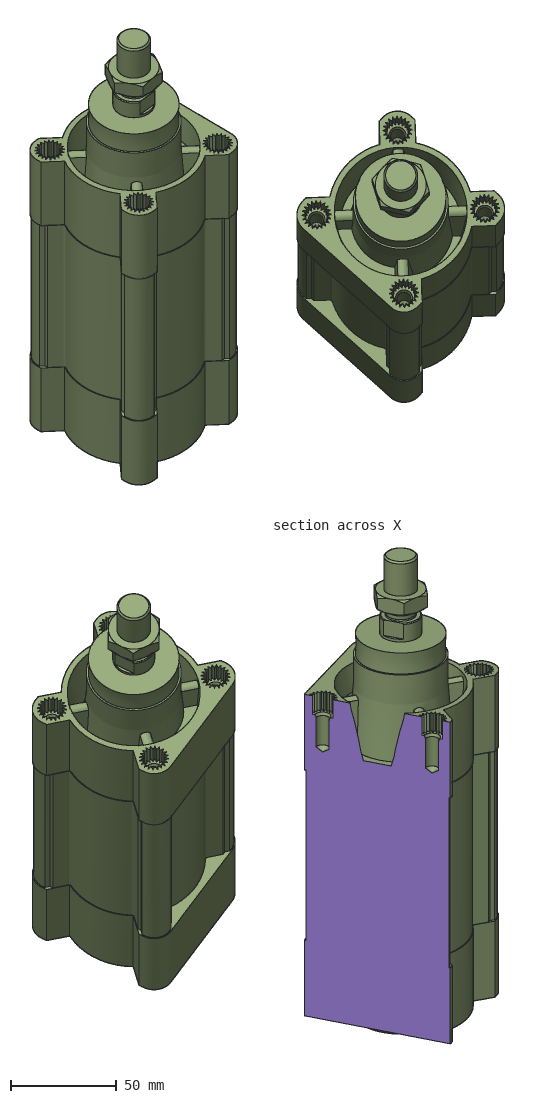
import cadquery as cq
import math


TOTAL_HEIGHT = 243.0
CAP_HEIGHT = 40.4
LOWER_CAP_BASE = 4.1
LOWER_CAP_TOP = LOWER_CAP_BASE + CAP_HEIGHT
UPPER_CAP_BASE = 134.5
UPPER_CAP_TOP = UPPER_CAP_BASE + CAP_HEIGHT
COLLAR_TOP = 190.5
HEAD_TOP = 201.8
SHOULDER_TOP = 211.5
NUT_BASE = 217.0
NUT_THICKNESS = 8.0

CAP_WIDTH = 75.0
BOLT_OFFSET = 28.2
CAP_LOBE_RADIUS = CAP_WIDTH / 2 - BOLT_OFFSET
BODY_RADIUS = 34.4
LOBE_HALF_WIDTH = 8.5
BARREL_RADIUS = 34.0
BARREL_LOBE_RADIUS = 8.8
BARREL_NECK_HALF_WIDTH = 8.3
BARREL_LOBE_HALF_WIDTH = 7.0
LEDGE_WIDTH = 70.3
NECK_REACH = 43.8
BARREL_CORNER_FILLET = 1.2

SPLINE_OUTER_DIAMETER = 13.9
SPLINE_INNER_DIAMETER = 10.2
SPLINE_DEPTH = 9.7
SPLINE_COUNT = 20
THREAD_MOUTH_DIAMETER = 8.0
THREAD_CORE_DIAMETER = 6.5
THREAD_MOUTH_DEPTH = 1.5
THREAD_DEPTH = 17.0
DRILL_POINT_ANGLE = 118.0

COLLAR_DIAMETER = 45.0
HEAD_DIAMETER = 43.0
HEAD_WAIST_DIAMETER = 42.5
SPIGOT_CHAMFER = 0.5

POCKET_DIAMETER = 63.0
POCKET_DEPTH = 29.2
SHALLOW_POCKET_DEPTH = 14.5
POCKET_WALL_TAPER = 2.5
RIB_CREST_RADIUS = 3.28
RIB_CREST_DEPTH = 2.2
RIB_HALF_WIDTH = 2.55
RIB_FOOT_HALF_WIDTH = 5.3

ROD_DIAMETER = 20.0
ROD_BASE = UPPER_CAP_BASE
WRENCH_WIDTH = 17.0
WRENCH_BASE = 203.2
THREAD_DIAMETER = 16.0
THREAD_TIP_DIAMETER = 14.3
THREAD_TIP_HEIGHT = 1.0
UNDERCUT_DIAMETER = 14.3
UNDERCUT_HEIGHT = 2.7
UNDERCUT_TAPER_HEIGHT = 1.0
UNDERCUT_ROOT_DIAMETER = 14.8
UNDERCUT_ROOT_HEIGHT = 0.7
SHOULDER_CHAMFER = 0.5

NUT_WIDTH = 24.0
NUT_CHAMFER_ANGLE = 30.0

CORNER_ANGLES = (45, 135, 225, 315)
BOLT_CENTRES = [(x, y) for x in (-BOLT_OFFSET, BOLT_OFFSET) for y in (-BOLT_OFFSET, BOLT_OFFSET)]


def rounded_square(width, corner_radius, height):
    """Square prism on XY with rounded vertical edges."""
    return cq.Workplane().rect(width, width).extrude(height).edges("|Z").fillet(corner_radius)


def diagonal_cross(reach, half_width, height):
    """Two crossing bars along the diagonals, ending at the given reach from the axis."""
    bar = cq.Workplane().rect(2 * reach, 2 * half_width).extrude(height)
    first, second = (bar.rotate((0, 0, 0), (0, 0, 1), angle) for angle in CORNER_ANGLES[:2])
    return first.union(second)


def back_sector(height):
    """Quarter sector between the two +Y corners, reaching past the caps."""
    outline = [(0, 0), (-CAP_WIDTH, CAP_WIDTH), (CAP_WIDTH, CAP_WIDTH)]
    return cq.Workplane().polyline(outline).close().extrude(height)


def end_cap(base):
    """Round cap with four corner lobes and a filled flat side toward +Y."""
    square = rounded_square(CAP_WIDTH, CAP_LOBE_RADIUS, CAP_HEIGHT)
    corners = diagonal_cross(CAP_WIDTH, LOBE_HALF_WIDTH, CAP_HEIGHT).union(back_sector(CAP_HEIGHT))
    cap = cq.Workplane().circle(BODY_RADIUS).extrude(CAP_HEIGHT).union(corners.intersect(square))
    return cap.translate((0, 0, base))


def barrel():
    """Round tube with four corner lobes that narrow at a flat ledge."""
    height = UPPER_CAP_BASE - LOWER_CAP_TOP
    necks = diagonal_cross(NECK_REACH, BARREL_NECK_HALF_WIDTH, height)
    necks = necks.intersect(cq.Workplane().rect(LEDGE_WIDTH, LEDGE_WIDTH).extrude(height))
    core = cq.Workplane().circle(BARREL_RADIUS).extrude(height).union(necks)
    corner = math.sqrt(BARREL_RADIUS**2 - BARREL_NECK_HALF_WIDTH**2)
    for angle in CORNER_ANGLES:
        for side in (1, -1):
            turn = math.radians(angle) + side * math.atan2(BARREL_NECK_HALF_WIDTH, corner)
            point = (BARREL_RADIUS * math.cos(turn), BARREL_RADIUS * math.sin(turn), height / 2)
            core = core.edges(cq.selectors.NearestToPointSelector(point)).fillet(BARREL_CORNER_FILLET)
    round_ends = cq.Workplane().pushPoints(BOLT_CENTRES).circle(BARREL_LOBE_RADIUS).extrude(height)
    round_ends = round_ends.intersect(diagonal_cross(CAP_WIDTH, BARREL_LOBE_HALF_WIDTH, height))
    arms = diagonal_cross(BOLT_OFFSET * math.sqrt(2), BARREL_LOBE_HALF_WIDTH, height)
    return core.union(arms).union(round_ends).translate((0, 0, LOWER_CAP_TOP))


def collar_and_head():
    """Collar above the upper cap, topped by a head with a curved waist."""
    head_middle = (COLLAR_TOP + HEAD_TOP) / 2
    return (
        cq.Workplane("XZ")
        .moveTo(0, UPPER_CAP_BASE)
        .lineTo(COLLAR_DIAMETER / 2, UPPER_CAP_BASE)
        .lineTo(COLLAR_DIAMETER / 2, COLLAR_TOP)
        .lineTo(HEAD_DIAMETER / 2, COLLAR_TOP)
        .threePointArc((HEAD_WAIST_DIAMETER / 2, head_middle), (HEAD_DIAMETER / 2, HEAD_TOP))
        .lineTo(0, HEAD_TOP)
        .close()
        .revolve(360, (0, 0, 0), (0, 1, 0))
    )


def bottom_spigot():
    """Short centring disc below the lower cap."""
    disc = cq.Workplane().circle(COLLAR_DIAMETER / 2).extrude(LOWER_CAP_BASE)
    return disc.faces("<Z").edges().chamfer(SPIGOT_CHAMFER)


def ring_pocket():
    """Tapered ring around the collar, interrupted by four ribs and shallow toward +Y."""
    floor = UPPER_CAP_TOP - POCKET_DEPTH
    ring = (
        cq.Workplane("XZ")
        .polyline(
            [
                (COLLAR_DIAMETER / 2, UPPER_CAP_TOP),
                (POCKET_DIAMETER / 2, UPPER_CAP_TOP),
                (POCKET_DIAMETER / 2 - POCKET_WALL_TAPER, floor),
                (COLLAR_DIAMETER / 2 + POCKET_WALL_TAPER, floor),
            ]
        )
        .close()
        .revolve(360, (0, 0, 0), (0, 1, 0))
    )
    step = back_sector(POCKET_DEPTH - SHALLOW_POCKET_DEPTH).translate((0, 0, floor))
    ring = ring.cut(step)
    for angle in CORNER_ANGLES:
        ring = ring.cut(pocket_rib().rotate((0, 0, 0), (0, 0, 1), angle))
    return ring


def pocket_rib():
    """Round-topped rib along +X with tapered flanks, crossing the ring pocket."""
    crest = UPPER_CAP_TOP - RIB_CREST_DEPTH
    crest_edge = crest - RIB_CREST_RADIUS + math.sqrt(RIB_CREST_RADIUS**2 - RIB_HALF_WIDTH**2)
    floor = UPPER_CAP_TOP - POCKET_DEPTH
    return (
        cq.Workplane("YZ")
        .moveTo(-RIB_FOOT_HALF_WIDTH, floor)
        .lineTo(-RIB_HALF_WIDTH, crest_edge)
        .threePointArc((0, crest), (RIB_HALF_WIDTH, crest_edge))
        .lineTo(RIB_FOOT_HALF_WIDTH, floor)
        .close()
        .extrude(POCKET_DIAMETER)
    )


def spline_socket():
    """Serrated recess of a bolt head, with pointed teeth, opening at the plane Z = 0."""
    points = []
    for tooth in range(SPLINE_COUNT):
        for diameter, phase in ((SPLINE_INNER_DIAMETER, 0), (SPLINE_OUTER_DIAMETER, 0.5)):
            turn = 2 * math.pi * (tooth + phase) / SPLINE_COUNT
            points.append((diameter / 2 * math.cos(turn), diameter / 2 * math.sin(turn)))
    return cq.Workplane().polyline(points).close().extrude(-SPLINE_DEPTH)


def bolt_socket():
    """Serrated recess with a countersunk, drilled thread hole in its floor."""
    core_radius = THREAD_CORE_DIAMETER / 2
    point_depth = core_radius / math.tan(math.radians(DRILL_POINT_ANGLE / 2))
    thread_floor = -SPLINE_DEPTH - THREAD_DEPTH
    thread_hole = (
        cq.Workplane("XZ")
        .polyline(
            [
                (0, -SPLINE_DEPTH),
                (THREAD_MOUTH_DIAMETER / 2, -SPLINE_DEPTH),
                (core_radius, -SPLINE_DEPTH - THREAD_MOUTH_DEPTH),
                (core_radius, thread_floor),
                (0, thread_floor - point_depth),
            ]
        )
        .close()
        .revolve(360, (0, 0, 0), (0, 1, 0))
    )
    return spline_socket().union(thread_hole)


def make_housing():
    """Both caps, barrel, collar and spigot as one solid, bored for the rod."""
    housing = end_cap(LOWER_CAP_BASE).union(barrel()).union(end_cap(UPPER_CAP_BASE))
    housing = housing.union(collar_and_head()).union(bottom_spigot())
    housing = housing.cut(ring_pocket())
    for x, y in BOLT_CENTRES:
        housing = housing.cut(bolt_socket().translate((x, y, UPPER_CAP_TOP)))
    rod_bore = cq.Workplane().workplane(offset=ROD_BASE).circle(ROD_DIAMETER / 2)
    return housing.cut(rod_bore.extrude(HEAD_TOP - ROD_BASE))


def make_rod():
    """Piston rod with wrench flats, thread undercut and chamfered threaded end."""
    undercut_top = SHOULDER_TOP + UNDERCUT_HEIGHT
    rod = (
        cq.Workplane("XZ")
        .polyline(
            [
                (0, ROD_BASE),
                (ROD_DIAMETER / 2, ROD_BASE),
                (ROD_DIAMETER / 2, SHOULDER_TOP - SHOULDER_CHAMFER),
                (ROD_DIAMETER / 2 - SHOULDER_CHAMFER, SHOULDER_TOP),
                (UNDERCUT_ROOT_DIAMETER / 2, SHOULDER_TOP),
                (UNDERCUT_DIAMETER / 2, SHOULDER_TOP + UNDERCUT_ROOT_HEIGHT),
                (UNDERCUT_DIAMETER / 2, undercut_top),
                (THREAD_DIAMETER / 2, undercut_top + UNDERCUT_TAPER_HEIGHT),
                (THREAD_DIAMETER / 2, TOTAL_HEIGHT - THREAD_TIP_HEIGHT),
                (THREAD_TIP_DIAMETER / 2, TOTAL_HEIGHT),
                (0, TOTAL_HEIGHT),
            ]
        )
        .close()
        .revolve(360, (0, 0, 0), (0, 1, 0))
    )
    wrench_length = SHOULDER_TOP - WRENCH_BASE
    wrench_zone = cq.Workplane().workplane(offset=WRENCH_BASE).circle(ROD_DIAMETER).extrude(wrench_length)
    between_flats = cq.Workplane().workplane(offset=WRENCH_BASE).rect(WRENCH_WIDTH, 2 * ROD_DIAMETER)
    return rod.cut(wrench_zone.cut(between_flats.extrude(wrench_length)))


def make_nut():
    """Hexagonal lock nut with flats facing +X and -X and chamfered corners on both ends."""
    corner_radius = NUT_WIDTH / math.sqrt(3)
    drop = (corner_radius - NUT_WIDTH / 2) * math.tan(math.radians(NUT_CHAMFER_ANGLE))
    blank = cq.Workplane().polygon(6, 2 * corner_radius).extrude(NUT_THICKNESS)
    blank = blank.rotate((0, 0, 0), (0, 0, 1), 90)
    envelope = (
        cq.Workplane("XZ")
        .polyline(
            [
                (0, 0),
                (NUT_WIDTH / 2, 0),
                (corner_radius, drop),
                (corner_radius, NUT_THICKNESS - drop),
                (NUT_WIDTH / 2, NUT_THICKNESS),
                (0, NUT_THICKNESS),
            ]
        )
        .close()
        .revolve(360, (0, 0, 0), (0, 1, 0))
    )
    bore = cq.Workplane().circle(THREAD_DIAMETER / 2).extrude(NUT_THICKNESS)
    return blank.intersect(envelope).cut(bore).translate((0, 0, NUT_BASE))


housing = make_housing()
rod = make_rod()
nut = make_nut()
result = cq.Compound.makeCompound([body.solids().val() for body in (housing, rod, nut)])